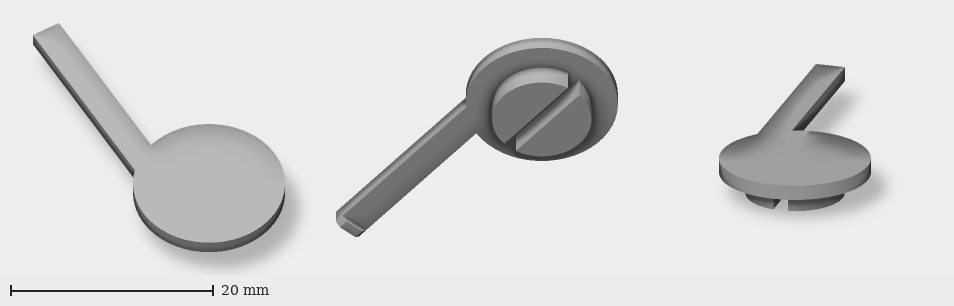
import cadquery as cq

total_length = 32.5
total_height = 3.7
plate_thickness = 1.5
disc_radius = 7.5
boss_radius = 4.9
slot_width = 1.5
arm_width = 3.0
arm_offset = 3.95
lip_length = 1.0
lip_height = 0.5

arm_end_x = disc_radius - total_length
boss_height = total_height - plate_thickness


def make_disc():
    return cq.Workplane("XY").circle(disc_radius).extrude(plate_thickness)


def make_arm():
    """Flat bar from the free end to the disc axis, merging into the disc."""
    return (
        cq.Workplane("XY")
        .box(-arm_end_x, arm_width, plate_thickness, centered=(False, True, False))
        .translate((arm_end_x, -arm_offset, 0))
    )


def make_split_boss():
    """Round boss under the disc, split along X by a full-height slot."""
    boss = cq.Workplane("XY").circle(boss_radius).extrude(-boss_height)
    slot = cq.Workplane("XY").rect(2 * disc_radius, slot_width).extrude(-boss_height)
    return boss.cut(slot)


def make_lip():
    """Small catch under the free end, with sides sloping inwards at 45 degrees."""
    top_half_width = arm_width / 2
    bottom_half_width = top_half_width - lip_height
    return (
        cq.Workplane("YZ")
        .polyline([
            (-top_half_width, 0),
            (top_half_width, 0),
            (bottom_half_width, -lip_height),
            (-bottom_half_width, -lip_height),
        ])
        .close()
        .extrude(lip_length)
        .translate((arm_end_x, -arm_offset, 0))
    )


result = make_disc().union(make_arm()).union(make_split_boss()).union(make_lip())